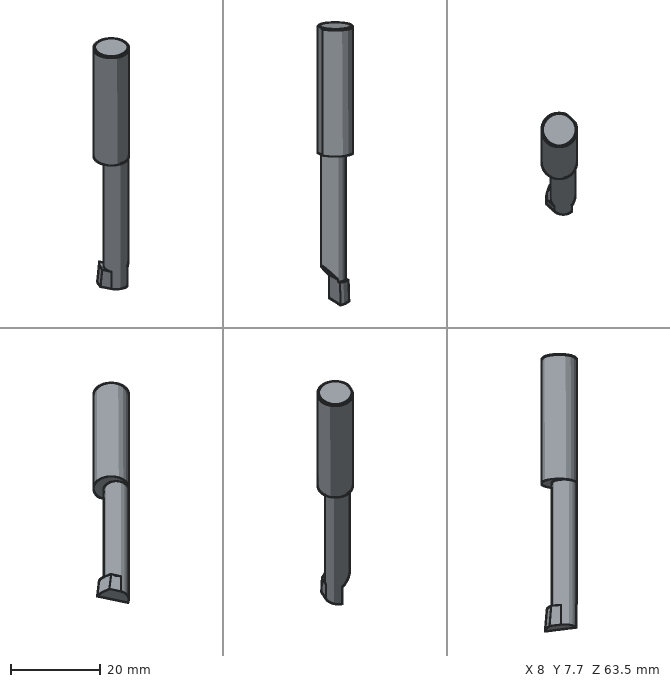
import cadquery as cq

total_length = 63.5
shank_diameter = 8.0
shank_length = 29.2
shank_chamfer = 0.3
flat_depth = 0.3
neck_diameter = 5.65

shank_radius = shank_diameter / 2
neck_radius = neck_diameter / 2
shoulder_z = total_length - shank_length
neck_center_x = shank_radius - neck_radius

head_top_z = 5.1
head_taper = 0.45
tip_x = -2.9
relief_end_x = -1.8
front_face_start_x = -1.0
front_face_end_x = 1.3
relief_end_y = -2.0
relief_bulge = 0.2
rake_face_end_z = 5.6
end_rise_along_x = 0.04
end_rise_along_y = 0.1


def make_shank():
    shank = cq.Workplane("XY").workplane(offset=shoulder_z).circle(shank_radius).extrude(shank_length)
    shank = shank.faces(">Z").chamfer(shank_chamfer)
    flat_cutter = (
        cq.Workplane("XY")
        .box(shank_diameter, shank_diameter, total_length, centered=(True, False, False))
        .translate((0, shank_radius - flat_depth, 0))
    )
    return shank.cut(flat_cutter)


def make_neck():
    """Round neck, halved along y = 0 at the head and run out at 45 degrees."""
    neck = cq.Workplane("XY").center(neck_center_x, 0).circle(neck_radius).extrude(shoulder_z)
    relief = (
        cq.Workplane("YZ")
        .polyline([
            (0, 0),
            (0, rake_face_end_z),
            (neck_diameter, rake_face_end_z + neck_diameter),
            (neck_diameter, 0),
        ])
        .close()
        .extrude(shank_diameter, both=True)
    )
    return neck.cut(relief)


def head_outline(plane, lean):
    """Head section with its curved relief flank shifted by lean towards -X."""
    relief_middle = ((tip_x + relief_end_x) / 2 - lean - relief_bulge, relief_end_y / 2)
    return (
        plane.moveTo(front_face_end_x, 0)
        .lineTo(tip_x - lean, 0)
        .threePointArc(relief_middle, (relief_end_x - lean, relief_end_y))
        .lineTo(front_face_start_x - lean, -neck_radius)
        .lineTo(front_face_end_x, -neck_radius)
        .close()
    )


def make_head():
    bottom = head_outline(cq.Workplane("XY"), head_taper)
    return head_outline(bottom.workplane(offset=head_top_z), 0).loft(ruled=True)


def make_end_cutter():
    """Material below the end plane, which passes through the tip at z = 0."""
    end_plane = cq.Plane(
        origin=(tip_x - head_taper, 0, 0),
        xDir=(1, 0, end_rise_along_x),
        normal=(-end_rise_along_x, end_rise_along_y, 1),
    )
    return cq.Workplane(end_plane).rect(total_length, total_length).extrude(-shank_diameter)


result = make_shank().union(make_neck()).union(make_head()).cut(make_end_cutter())